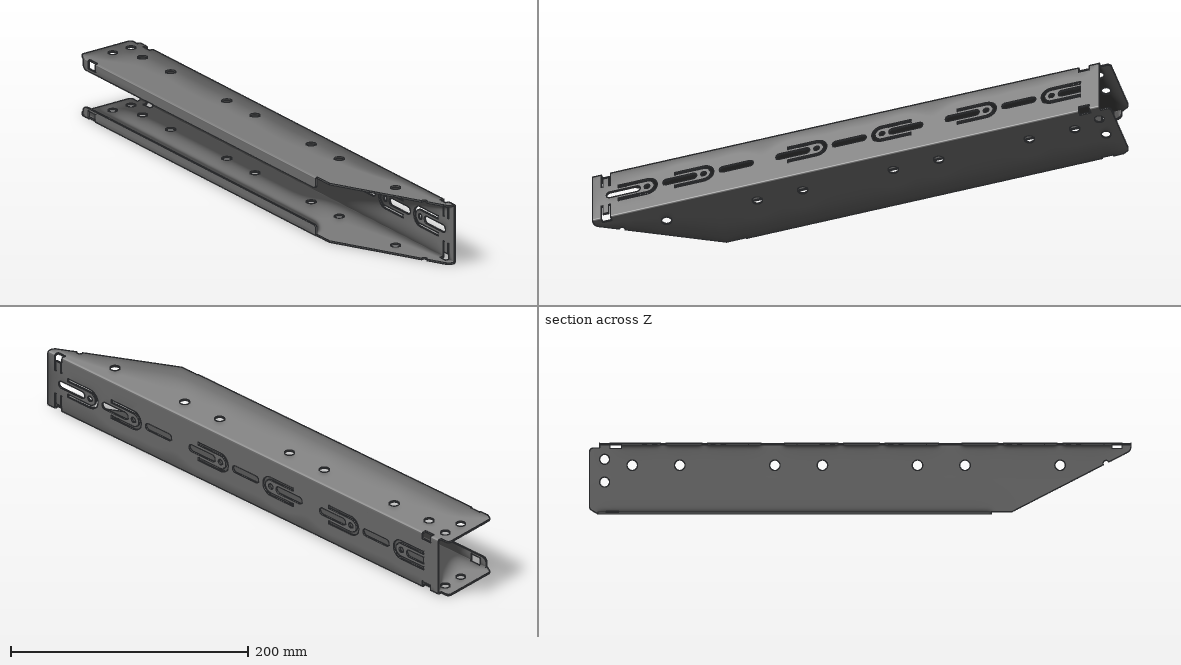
import cadquery as cq
import math

length = 457.0
depth = 60.0
height = 54.0
sheet = 1.5
bend_radius = 2.0
lip_height = 10.0

web_start = 8.5
corner_relief = 4.0
lip_start = 7.5
lip_end = 339.0
lip_start_radius = 4.5
lip_end_radius = 2.7
flange_corner_radius = 3.0
flange_edge_end = 356.5
nose_angle = 27.2
nose_radius = 5.5
nose_notch_x = 436.0
nose_notch_diameter = 5.0

row_hole_diameter = 8.5
row_hole_start = 36.0
row_hole_span = 361.0
row_hole_steps = [0, 1, 3, 4, 6, 7, 9]
row_hole_inset = 18.7
end_hole_diameter = 8.0
end_hole_x = 13.0
end_hole_insets = [13.5, 33.0]

slot_length = 30.0
slot_width = 7.0
first_slot_x = 29.5
slot_span = 400.0
first_slot_square_end = 25.0
tongue_sides = [1, 0, -1, 1, 0, -1, 0, -1, -1]
tongue_offset = 21.0
tongue_hole_diameter = 5.0
tongue_outer_radius = 9.0
tongue_slit = 2.95
tongue_arm_length = 25.5

web_notch_depth = 4.5
web_notch_start = 17.5
web_notch_end = 27.0
web_notch_height = 6.0
lip_notch_start = 14.0
lip_notch_end = 24.5
lip_notch_height = 7.8
lip_notch_depth = 2.5
tab_start = 441.0
tab_end = 449.2
tab_notch_height = 6.0
tab_slit_width = 1.5
tab_slit_height = 15.5

half_height = height / 2
web_inner_y = depth - sheet


def box(x_range, y_range, z_range):
    """Box spanning the given (low, high) pairs."""
    spans = [high - low for low, high in (x_range, y_range, z_range)]
    corner = (x_range[0], y_range[0], z_range[0])
    return cq.Workplane("XY").box(*spans, centered=False).translate(corner)


def both_flanges(cutter):
    """A cutter together with its mirror image about the middle plane."""
    return cutter.union(cutter.mirror("XY"))


def lipped_channel():
    """Bent C section along the full length, open towards -Y."""
    inner_radius = bend_radius - sheet
    outer = box((0, length), (0, depth), (-half_height, half_height)).edges("|X").fillet(bend_radius)
    inner_z = half_height - sheet
    inner = box((0, length), (sheet, web_inner_y), (-inner_z, inner_z)).edges("|X").fillet(inner_radius)
    gap_z = half_height - lip_height
    gap = box((0, length), (0, depth / 2), (-gap_z, gap_z))
    return outer.cut(inner).cut(gap)


def plan_prism():
    """Outline of the flanges in the XY plane, with the slanted nose and its round notch."""
    slope = math.tan(math.radians(nose_angle))
    nose_y = bend_radius + (length - flange_edge_end) * slope
    notch_y = bend_radius + (nose_notch_x - flange_edge_end) * slope
    outline = [
        (0, corner_relief),
        (lip_start, 0),
        (lip_end, 0),
        (lip_end, bend_radius),
        (flange_edge_end, bend_radius),
        (length, nose_y),
        (length, depth),
        (web_start, depth),
        (web_start, depth - corner_relief),
        (0, depth - corner_relief),
    ]
    base = cq.Workplane("XY", origin=(0, 0, -half_height))
    prism = base.polyline(outline).close().extrude(height)
    nose_corner = cq.selectors.NearestToPointSelector((length, nose_y, 0))
    prism = prism.edges(nose_corner).fillet(nose_radius)
    prism = prism.edges("|Z and <X").fillet(flange_corner_radius)
    notch = base.center(nose_notch_x, notch_y).circle(nose_notch_diameter / 2).extrude(height)
    return prism.cut(notch)


def lip_corner_cut():
    """Cutter that ends the upper lip behind the flange chamfer and rounds its free corners."""
    low_z = half_height - lip_height
    square = box((lip_start, lip_end), (0, sheet), (low_z, half_height))
    rounded = square.edges("|Y and <Z and <X").fillet(lip_start_radius)
    rounded = rounded.edges("|Y and <Z and >X").fillet(lip_end_radius)
    ahead_of_lip = box((0, lip_start), (0, bend_radius), (low_z, half_height - sheet))
    return square.cut(rounded).union(ahead_of_lip)


def flange_holes():
    """Round holes through both flanges."""
    pitch = row_hole_span / row_hole_steps[-1]
    row = [(row_hole_start + step * pitch, depth - row_hole_inset) for step in row_hole_steps]
    ends = [(end_hole_x, depth - inset) for inset in end_hole_insets]
    base = cq.Workplane("XY", origin=(0, 0, -half_height))
    row_cut = base.pushPoints(row).circle(row_hole_diameter / 2).extrude(height)
    end_cut = base.pushPoints(ends).circle(end_hole_diameter / 2).extrude(height)
    return row_cut.union(end_cut)


def web_plane(x):
    """Workplane on the web's outer face; extruding goes inwards through the sheet."""
    return cq.Workplane("XZ", origin=(x, depth, 0))


def web_slot(x):
    """Round-ended slot through the web, centred at x."""
    return web_plane(x).slot2D(slot_length, slot_width).extrude(sheet)


def tongue_cut(x, side):
    """U-shaped slit around a small hole; the arms run back alongside the slot."""
    def stadium(radius):
        disc = web_plane(x).circle(radius).extrude(sheet)
        arm_x = sorted((x, x - side * tongue_arm_length))
        return disc.union(box(arm_x, (web_inner_y, depth), (-radius, radius)))

    slit = stadium(tongue_outer_radius).cut(stadium(tongue_outer_radius - tongue_slit))
    return slit.union(web_plane(x).circle(tongue_hole_diameter / 2).extrude(sheet))


def web_openings():
    """Row of slots in the web, most of them paired with a tongue."""
    pitch = slot_span / (len(tongue_sides) - 1)
    openings = cq.Workplane("XY")
    for index, side in enumerate(tongue_sides):
        x = first_slot_x + index * pitch
        slot = web_slot(x)
        if index == 0:
            kept_x = (first_slot_square_end, x + slot_length)
            slot = slot.intersect(box(kept_x, (0, depth), (-slot_width, slot_width)))
        openings = openings.union(slot)
        if side:
            openings = openings.union(tongue_cut(x + side * tongue_offset, side))
    return openings


def bend_notches():
    """Notches over the upper bends: web and lip at the start, tab with two slits at the nose."""
    web_side = (depth - web_notch_depth, depth)
    lip_side = (0, lip_notch_depth)
    notches = [
        (web_notch_start, web_notch_end, web_side, web_notch_height),
        (lip_notch_start, lip_notch_end, lip_side, lip_notch_height),
        (tab_start, tab_end, web_side, tab_notch_height),
        (tab_start, tab_start + tab_slit_width, web_side, tab_slit_height),
        (tab_end - tab_slit_width, tab_end, web_side, tab_slit_height),
    ]
    cutter = cq.Workplane("XY")
    for start, end, side, drop in notches:
        cutter = cutter.union(box((start, end), side, (half_height - drop, half_height)))
    return cutter


result = lipped_channel().intersect(plan_prism())
result = result.cut(both_flanges(lip_corner_cut()))
result = result.cut(flange_holes())
result = result.cut(web_openings())
result = result.cut(both_flanges(bend_notches()))